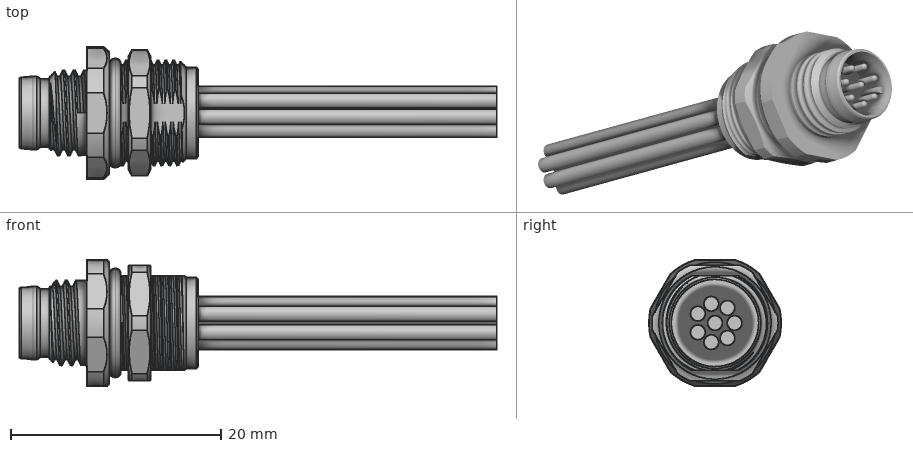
import cadquery as cq
import math

TIP_EDGE = 0.2
BEAD_START = 1.3
BEAD_END = 1.7
NECK_START = 2.0
NECK_END = 2.9
FLANGE_FRONT = 6.45
FLANGE_REAR = 8.6
REAR_THREAD_START = 9.7
NUT_FRONT = 10.4
NUT_REAR = 12.55
REAR_THREAD_END = 15.9
BODY_END = 17.05
TOTAL_LENGTH = 45.5

TIP_RADIUS = 3.28
NOSE_RADIUS = 3.4
BEAD_RADIUS = 3.5
NECK_RADIUS = 3.28
SOCKET_MOUTH_RADIUS = 3.1
SOCKET_FLOOR_RADIUS = 2.75
SOCKET_DEPTH = 3.5
KEY_START = 1.0
KEY_RADIUS = 0.3
KEY_CENTER = 2.55
KEY_ROOT = 3.15

FRONT_PITCH = 1.0
FRONT_CREST = 4.05
FRONT_ROOT = 3.5
FRONT_LEAD_IN = 3.4
FRONT_LAST_GROOVE = 6.0
FRONT_END_ANGLE = 90.0
FRONT_TURNS = 4

REAR_PITCH = 0.75
REAR_CREST = 5.0
REAR_ROOT = 4.59
REAR_NECK = 4.5
REAR_LAST_GROOVE = 15.85
REAR_END_ANGLE = 0.0
REAR_TURNS = 8.5
FLAT_DISTANCE = 9.0

CREST_SHARE = 0.12
ROOT_SHARE = 0.3
GROOVE_OVERCUT = 0.05

COLLAR_RADIUS = 4.35
COLLAR_CHAMFER = 0.2

FLANGE_ACROSS_FLATS = 12.0
FLANGE_CORNER_RADIUS = 6.3
FLANGE_CHAMFER_LENGTH = 0.55
FLANGE_CHAMFER_DEPTH = 0.5
NUT_ACROSS_FLATS = 11.0
NUT_CORNER_RADIUS = 6.0
NUT_CHAMFER_LENGTH = 0.35
NUT_CHAMFER_DEPTH = 0.65

RING_SECTION_RADIUS = 0.55
RING_OUTER_RADIUS = 5.2

RING_CONTACTS = 7
CONTACT_CIRCLE = 1.86
CONTACT_SPACING = 50.5
PIN_RADIUS = 0.3
PIN_TIP = 0.35
WIRE_RADIUS = 0.7


def revolve_profile(points):
    """Turn an (x, radius) outline about the X axis."""
    return cq.Workplane("XY").polyline(points).close().revolve(360, (0, 0, 0), (1, 0, 0))


def rod(start, end, radius, y=0.0, z=0.0):
    """Cylinder along X between two stations."""
    return cq.Workplane("YZ", origin=(start, y, z)).circle(radius).extrude(end - start)


def body():
    """Nose, unthreaded front and rear barrels, and rear collar in one turned shape."""
    return revolve_profile([
        (0, 0),
        (0, TIP_RADIUS),
        (TIP_EDGE, NOSE_RADIUS),
        (BEAD_START, BEAD_RADIUS),
        (BEAD_END, BEAD_RADIUS),
        (NECK_START, NECK_RADIUS),
        (NECK_END, NECK_RADIUS),
        (NECK_END, FRONT_LEAD_IN),
        (NECK_END + FRONT_CREST - FRONT_LEAD_IN, FRONT_CREST),
        (FLANGE_FRONT, FRONT_CREST),
        (FLANGE_FRONT, REAR_NECK),
        (REAR_THREAD_START, REAR_NECK),
        (REAR_THREAD_START, REAR_CREST),
        (REAR_THREAD_END - REAR_CREST + COLLAR_RADIUS, REAR_CREST),
        (REAR_THREAD_END, COLLAR_RADIUS),
        (BODY_END - COLLAR_CHAMFER, COLLAR_RADIUS),
        (BODY_END, COLLAR_RADIUS - COLLAR_CHAMFER),
        (BODY_END, 0),
    ])


def socket():
    """Tapered recess around the pins, closing slightly towards its floor."""
    return revolve_profile([
        (0, 0),
        (0, SOCKET_MOUTH_RADIUS),
        (SOCKET_DEPTH, SOCKET_FLOOR_RADIUS),
        (SOCKET_DEPTH, 0),
    ])


def thread_groove(pitch, crest, root, turns, last_groove, end_angle):
    """Right-handed helical groove ending at x = last_groove; angle runs from +Y towards +Z."""
    half_top = pitch * (1 - CREST_SHARE) / 2
    half_bottom = pitch * ROOT_SHARE / 2
    path = cq.Wire.makeHelix(pitch, pitch * turns, root)
    groove = (
        cq.Workplane("XZ")
        .polyline([
            (root, -half_bottom),
            (crest + GROOVE_OVERCUT, -half_top),
            (crest + GROOVE_OVERCUT, half_top),
            (root, half_bottom),
        ])
        .close()
        .sweep(cq.Workplane(path), isFrenet=True)
    )
    groove = groove.rotate((0, 0, 0), (1, 1, 1), 120)
    groove = groove.rotate((0, 0, 0), (1, 0, 0), end_angle - 360 * turns)
    return groove.translate((last_groove - pitch * turns, 0, 0))


def rear_flats():
    """Material to remove above and below the two flats of the rear thread."""
    size = 3 * REAR_CREST
    length = REAR_THREAD_END - REAR_THREAD_START
    middle = (REAR_THREAD_START + REAR_THREAD_END) / 2
    outer = cq.Workplane("XY").box(length, size, size)
    kept = cq.Workplane("XY").box(length, size, FLAT_DISTANCE)
    return outer.cut(kept).translate((middle, 0, 0))


def hexagon(start, end, across_flats):
    """Hexagonal prism along X with flats facing +Z and -Z."""
    across_corners = across_flats / math.cos(math.pi / 6)
    return cq.Workplane("YZ", origin=(start, 0, 0)).polygon(6, across_corners).extrude(end - start)


def flange():
    envelope = revolve_profile([
        (FLANGE_FRONT, 0),
        (FLANGE_FRONT, FLANGE_CORNER_RADIUS),
        (FLANGE_REAR - FLANGE_CHAMFER_LENGTH, FLANGE_CORNER_RADIUS),
        (FLANGE_REAR, FLANGE_CORNER_RADIUS - FLANGE_CHAMFER_DEPTH),
        (FLANGE_REAR, 0),
    ])
    return hexagon(FLANGE_FRONT, FLANGE_REAR, FLANGE_ACROSS_FLATS).intersect(envelope)


def nut():
    face_radius = NUT_CORNER_RADIUS - NUT_CHAMFER_DEPTH
    envelope = revolve_profile([
        (NUT_FRONT, 0),
        (NUT_FRONT, face_radius),
        (NUT_FRONT + NUT_CHAMFER_LENGTH, NUT_CORNER_RADIUS),
        (NUT_REAR - NUT_CHAMFER_LENGTH, NUT_CORNER_RADIUS),
        (NUT_REAR, face_radius),
        (NUT_REAR, 0),
    ])
    return hexagon(NUT_FRONT, NUT_REAR, NUT_ACROSS_FLATS).intersect(envelope)


def sealing_ring():
    """O-ring seated against the rear face of the flange."""
    center_x = FLANGE_REAR + RING_SECTION_RADIUS
    center_radius = RING_OUTER_RADIUS - RING_SECTION_RADIUS
    center = cq.Vector(center_x, 0, 0)
    axis = cq.Vector(1, 0, 0)
    return cq.Workplane(cq.Solid.makeTorus(center_radius, RING_SECTION_RADIUS, center, axis))


def key_rib():
    """Round-nosed rib on the -Y wall of the socket, set back from the mouth."""
    nose = rod(KEY_START, SOCKET_DEPTH, KEY_RADIUS, -KEY_CENTER)
    web_height = KEY_ROOT - KEY_CENTER
    web = (
        cq.Workplane("YZ", origin=(KEY_START, -KEY_CENTER - web_height / 2, 0))
        .rect(web_height, 2 * KEY_RADIUS)
        .extrude(SOCKET_DEPTH - KEY_START)
    )
    return nose.union(web)


def pin(y, z):
    """Round pin with a hemispherical tip."""
    dome_center = PIN_TIP + PIN_RADIUS
    dome = cq.Workplane("XY").sphere(PIN_RADIUS).translate((dome_center, y, z))
    return rod(dome_center, SOCKET_DEPTH, PIN_RADIUS, y, z).union(dome)


def contact_positions():
    """Centre contact, then a ring that leaves its gap at the key on the -Y side."""
    positions = [(0.0, 0.0)]
    for index in range(RING_CONTACTS):
        angle = math.radians((index - RING_CONTACTS // 2) * CONTACT_SPACING)
        positions.append((CONTACT_CIRCLE * math.cos(angle), CONTACT_CIRCLE * math.sin(angle)))
    return positions


result = body()
result = result.cut(thread_groove(
    FRONT_PITCH, FRONT_CREST, FRONT_ROOT, FRONT_TURNS, FRONT_LAST_GROOVE, FRONT_END_ANGLE))
result = result.cut(thread_groove(
    REAR_PITCH, REAR_CREST, REAR_ROOT, REAR_TURNS, REAR_LAST_GROOVE, REAR_END_ANGLE))
result = result.cut(rear_flats())
result = result.cut(socket())
result = result.union(sealing_ring()).union(flange()).union(nut())
result = result.union(key_rib())
for y, z in contact_positions():
    result = result.union(pin(y, z)).union(rod(BODY_END, TOTAL_LENGTH, WIRE_RADIUS, y, z))